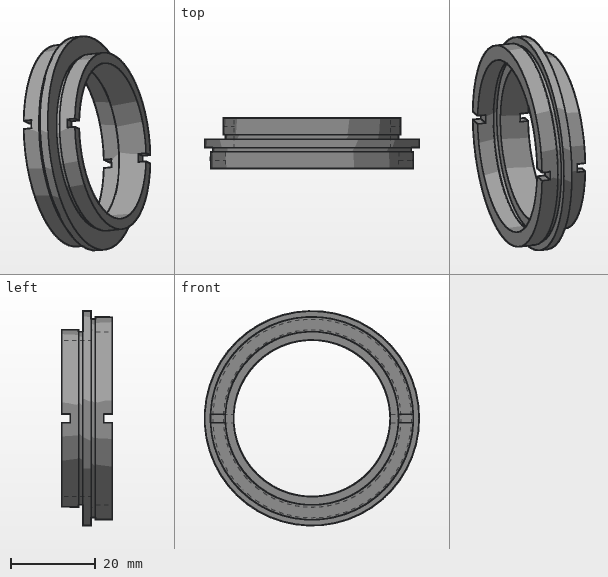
import cadquery as cq

flange_diameter = 50.8

front_diameter = 48.0
front_relief_diameter = 47.0
back_diameter = 42.0
back_relief_diameter = 41.0
shoulder_length = 4.0
relief_width = 1.0
flange_width = 2.0

bore_diameter = 37.0
counterbore_diameter = 41.0
counterbore_relief_diameter = 42.0
counterbore_depth = shoulder_length + relief_width

slot_width = 2.0
slot_depth = 2.0

outer_steps = [
    (front_diameter, shoulder_length),
    (front_relief_diameter, relief_width),
    (flange_diameter, flange_width),
    (back_relief_diameter, relief_width),
    (back_diameter, shoulder_length),
]
total_length = sum(length for _, length in outer_steps)


def disc(diameter, start, length):
    """Solid disc about the Y axis, reaching from start to start + length."""
    return cq.Workplane("XZ", origin=(0, start, 0)).circle(diameter / 2).extrude(-length)


def stepped_body():
    """Coaxial discs stacked along Y."""
    start = 0.0
    body = cq.Workplane("XZ")
    for diameter, length in outer_steps:
        body = body.union(disc(diameter, start, length))
        start += length
    return body


def cut_opening(body):
    """Through bore, front counterbore and the relief groove at its bottom."""
    body = body.cut(disc(bore_diameter, 0, total_length))
    body = body.cut(disc(counterbore_diameter, 0, counterbore_depth))
    return body.cut(disc(counterbore_relief_diameter, shoulder_length, relief_width))


def cut_spanner_slots(body):
    """One slot across each end face, cut by a bar centred on that face."""
    bar = cq.Workplane("XY").box(flange_diameter, 2 * slot_depth, slot_width)
    for end_face_y in (0, total_length):
        body = body.cut(bar.translate((0, end_face_y, 0)))
    return body


result = cut_spanner_slots(cut_opening(stepped_body()))